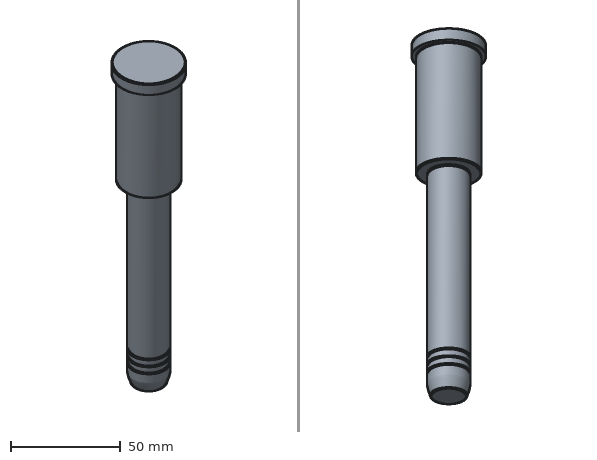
import cadquery as cq

total_length = 180.0
head_thickness = 6.1
body_bottom = 114.0
neck_height = 0.9
nose_height = 6.1

head_diameter = 34.0
body_diameter = 30.0
shank_diameter = 20.0
nose_tip_diameter = 17.0

edge_chamfer = 0.5
nose_bulge = 0.2
relief_depth = 0.4
head_relief_height = 0.5

groove_count = 3
groove_depth = 0.45
groove_width = 2 * groove_depth
groove_pitch = 4.0
lowest_groove_bottom = 11.2

head_radius = head_diameter / 2
body_radius = body_diameter / 2
shank_radius = shank_diameter / 2
neck_radius = shank_radius - relief_depth
nose_tip_radius = nose_tip_diameter / 2
head_bottom = total_length - head_thickness
shank_top = body_bottom - neck_height
body_top = head_bottom - head_relief_height
head_relief_radius = body_radius - relief_depth


def add_nose(profile):
    """Flat chamfered tip, then a slightly bulging taper up to the shank."""
    taper_middle = (
        (nose_tip_radius + shank_radius) / 2 + nose_bulge,
        (edge_chamfer + nose_height) / 2,
    )
    return (
        profile.lineTo(nose_tip_radius - edge_chamfer, 0)
        .lineTo(nose_tip_radius, edge_chamfer)
        .threePointArc(taper_middle, (shank_radius, nose_height))
    )


def add_grooved_shank(profile):
    """Straight shank with V grooves, ending in a shallow neck under the body."""
    for index in range(groove_count):
        bottom = lowest_groove_bottom + index * groove_pitch
        profile = (
            profile.lineTo(shank_radius, bottom)
            .lineTo(shank_radius - groove_depth, bottom + groove_width / 2)
            .lineTo(shank_radius, bottom + groove_width)
        )
    return (
        profile.lineTo(shank_radius, shank_top)
        .lineTo(neck_radius, shank_top)
        .lineTo(neck_radius, body_bottom)
    )


def add_body_and_head(profile):
    """Body chamfered below, shallow relief under the head, head chamfered on top."""
    return (
        profile.lineTo(body_radius - edge_chamfer, body_bottom)
        .lineTo(body_radius, body_bottom + edge_chamfer)
        .lineTo(body_radius, body_top)
        .lineTo(head_relief_radius, body_top)
        .lineTo(head_relief_radius, head_bottom)
        .lineTo(head_radius, head_bottom)
        .lineTo(head_radius, total_length - edge_chamfer)
        .lineTo(head_radius - edge_chamfer, total_length)
        .lineTo(0, total_length)
    )


half_section = add_nose(cq.Workplane("XZ"))
half_section = add_grooved_shank(half_section)
half_section = add_body_and_head(half_section)
result = half_section.close().revolve(360, (0, 0, 0), (0, 1, 0))